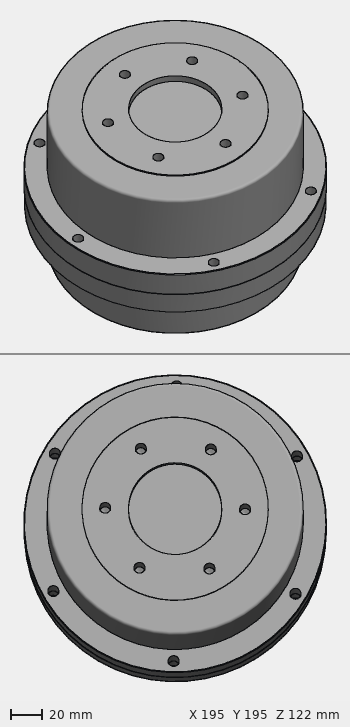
import cadquery as cq

total_height = 122.0
pad_height = 1.0
body_top = total_height - pad_height
flange_bottom = 34.3
lower_flange_top = 50.1
flange_gap = 0.8
upper_flange_bottom = lower_flange_top + flange_gap
flange_top = 69.0

flange_diameter = 195.0
lower_flange_diameter = 194.2
body_diameter = 165.0
pad_diameter = 120.0
recess_diameter = 60.0
gap_core_diameter = pad_diameter

body_edge_radius = 2.0
flange_edge_chamfer = 0.49

recess_depth = 5.0

hole_count = 6
hole_diameter = 7.0
flange_bolt_circle = 180.0
flange_first_angle = 90
pad_bolt_circle = 90.0
pad_first_angle = 0
pad_hole_depth = 15.6
drill_tip_height = 2.0


def disc(diameter, bottom, top):
    """Solid cylinder on the Z axis between two heights."""
    return cq.Workplane("XY").workplane(offset=bottom).circle(diameter / 2).extrude(top - bottom)


def bolt_pattern(height, bolt_circle, first_angle):
    """Workplane at a height with the hole centres of a bolt circle selected."""
    plane = cq.Workplane("XY").workplane(offset=height)
    return plane.polarArray(bolt_circle / 2, first_angle, 360, hole_count)


def make_lower_half():
    """Plain round drum with the lower flange at its top."""
    drum = disc(body_diameter, 0, lower_flange_top)
    return drum.union(disc(lower_flange_diameter, flange_bottom, lower_flange_top))


def make_upper_half():
    """Drum with a rounded rim, the upper flange at its foot and a low pad on top."""
    drum = disc(body_diameter, upper_flange_bottom, body_top).faces(">Z").edges().fillet(body_edge_radius)
    flange = disc(flange_diameter, upper_flange_bottom, flange_top)
    flange = flange.faces(">Z").edges().chamfer(flange_edge_chamfer)
    return drum.union(flange).union(disc(pad_diameter, body_top, total_height))


def make_housing():
    """Both halves, held a narrow gap apart by a smaller round core."""
    core = disc(gap_core_diameter, lower_flange_top, upper_flange_bottom)
    return make_lower_half().union(core).union(make_upper_half())


def make_flange_holes():
    """Plain holes through both flange layers."""
    holes = bolt_pattern(flange_bottom, flange_bolt_circle, flange_first_angle)
    return holes.circle(hole_diameter / 2).extrude(flange_top - flange_bottom)


def make_pad_holes():
    """Blind drilled holes in the pad, each ending in a conical tip."""
    radius = hole_diameter / 2
    drill = (
        cq.Workplane("XZ")
        .lineTo(radius, 0)
        .lineTo(radius, -pad_hole_depth)
        .lineTo(0, -pad_hole_depth - drill_tip_height)
        .close()
        .revolve(360, (0, 0, 0), (0, 1, 0))
        .val()
    )
    holes = bolt_pattern(total_height, pad_bolt_circle, pad_first_angle)
    return holes.eachpoint(lambda place: drill.moved(place), combine="a", clean=False)


recess = disc(recess_diameter, total_height - recess_depth, total_height)
result = make_housing().cut(recess).cut(make_flange_holes()).cut(make_pad_holes())